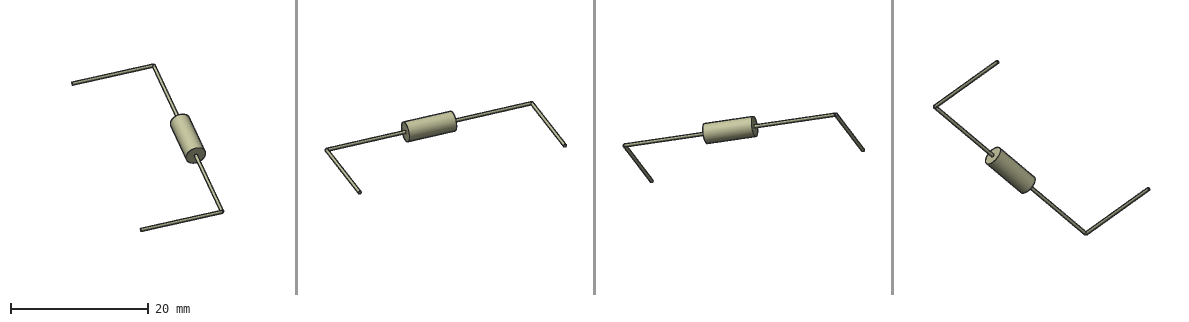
import cadquery as cq

overall_length = 33.0
overall_depth = 14.0
body_diameter = 3.0
body_length = 7.5
lead_diameter = 0.5

lead_radius = lead_diameter / 2
bend_x = overall_length / 2 - lead_radius
leg_end_y = body_diameter / 2 - overall_depth

body = (
    cq.Workplane("YZ", origin=(-body_length / 2, 0, 0))
    .circle(body_diameter / 2)
    .extrude(body_length)
)

lead_path = cq.Workplane("XY").polyline(
    [(-bend_x, leg_end_y), (-bend_x, 0), (bend_x, 0), (bend_x, leg_end_y)]
)
leads = (
    cq.Workplane("XZ", origin=(-bend_x, leg_end_y, 0))
    .circle(lead_radius)
    .sweep(lead_path, transition="round")
)

result = body.union(leads)